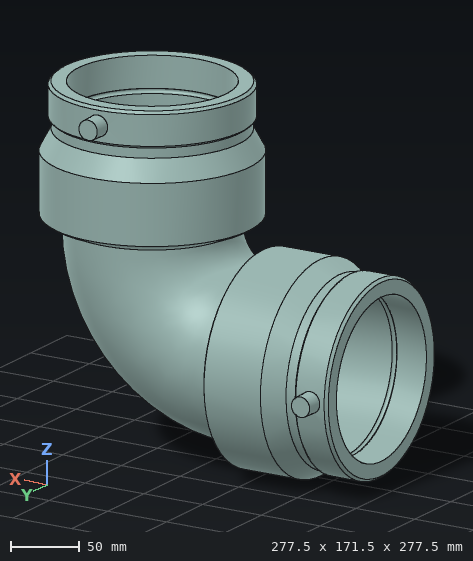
import cadquery as cq

overall_length = 277.5
sleeve_diameter = 165.0
collar_diameter = 151.8
neck_diameter = 147.0
pipe_diameter = 131.9
pipe_bore = 108.3
socket_bore = 125.0

collar_end = 26.5
neck_start = 28.3
neck_end = 36.0
sleeve_start = 52.5
sleeve_end = 100.5
socket_length = 108.3
bore_taper_length = 7.8

mouth_chamfer = 2.2
sleeve_chamfer_length = 2.2
sleeve_chamfer_depth = 3.3
wire_groove_diameter = 4.0
wire_groove_depth = 27.2

pin_tip_diameter = 15.5
pin_base_diameter = 17.0
pin_tip_y = 89.0
pin_depth = 14.2
pin_root_y = (socket_bore + collar_diameter) / 4

mouth_distance = overall_length - sleeve_diameter / 2
bend_radius = mouth_distance - socket_length


def bend(diameter):
    """Quarter torus joining the inner ends of the two sockets."""
    return (
        cq.Workplane("XY", origin=(0, 0, bend_radius))
        .circle(diameter / 2)
        .revolve(90, (-bend_radius, 0, 0), (-bend_radius, 1, 0))
    )


def revolve_profile(points):
    """Turn a closed (radius, depth) profile about the vertical leg axis."""
    outline = [(radius, mouth_distance - depth) for radius, depth in points]
    return cq.Workplane("XZ").polyline(outline).close().revolve(360, (0, 0, 0), (0, 1, 0))


def socket_body():
    """Solid collar, neck and sleeve, with one tapered terminal pin."""
    body = revolve_profile([
        (0, 0),
        (collar_diameter / 2 - mouth_chamfer, 0),
        (collar_diameter / 2, mouth_chamfer),
        (collar_diameter / 2, collar_end),
        (neck_diameter / 2, neck_start),
        (neck_diameter / 2, neck_end),
        (sleeve_diameter / 2, sleeve_start),
        (sleeve_diameter / 2, sleeve_end),
        (sleeve_diameter / 2 - sleeve_chamfer_depth, sleeve_end + sleeve_chamfer_length),
        (pipe_diameter / 2, socket_length),
        (0, socket_length),
    ])
    pin = cq.Workplane(cq.Solid.makeCone(
        pin_base_diameter / 2,
        pin_tip_diameter / 2,
        pin_tip_y - pin_root_y,
        cq.Vector(0, pin_root_y, mouth_distance - pin_depth),
        cq.Vector(0, 1, 0),
    ))
    return body.union(pin)


def socket_cavity():
    """Socket bore, its taper to the pipe bore, and the round wire groove."""
    bore = revolve_profile([
        (0, 0),
        (socket_bore / 2, 0),
        (socket_bore / 2, socket_length - bore_taper_length),
        (pipe_bore / 2, socket_length),
        (0, socket_length),
    ])
    groove = (
        cq.Workplane("XZ")
        .center(socket_bore / 2, mouth_distance - wire_groove_depth)
        .circle(wire_groove_diameter / 2)
        .revolve(360, (-socket_bore / 2, 0, 0), (-socket_bore / 2, 1, 0))
    )
    return bore.union(groove)


def on_side_leg(shape):
    """Turn a shape from the +Z leg onto the -X leg."""
    return shape.rotate((0, 0, 0), (0, 1, 0), -90)


result = bend(pipe_diameter)
for part in (socket_body(), on_side_leg(socket_body())):
    result = result.union(part)

result = result.cut(bend(pipe_bore))
for cavity in (socket_cavity(), on_side_leg(socket_cavity())):
    result = result.cut(cavity)